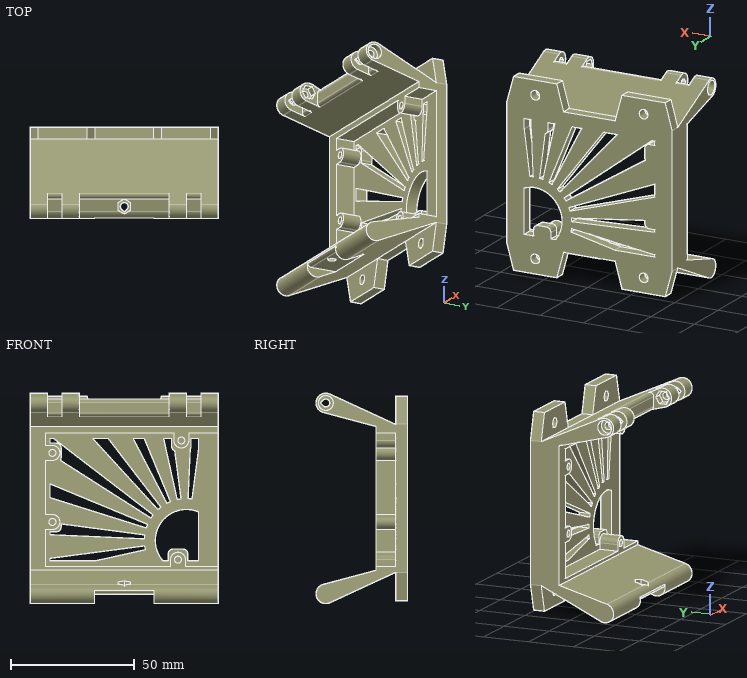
import cadquery as cq
import math


WIDTH = 76.0
HEIGHT = 85.0
DEPTH = 37.0
BODY_DEPTH = 12.8
PLATE_THICKNESS = 4.85
BODY_HALF_HEIGHT = 29.9
MOUTH_HALF_HEIGHT = 29.0
TIP_RADIUS = 4.0
TIP_DEPTH = DEPTH - TIP_RADIUS
TIP_HEIGHT = HEIGHT / 2 - TIP_RADIUS
CLEARANCE = 0.85

TAB_CENTER = 24.9
TAB_BASE_WIDTH = WIDTH - 2 * TAB_CENTER
TAB_TOP_WIDTH = 19.9
TAB_TOP = 41.3
TAB_HOLE_DIAMETER = 4.0
TAB_HOLE_HEIGHT = 34.8

EAR_WIDTH = 7.05
EAR_GAP = 5.8
INNER_EAR_START = WIDTH / 2 - 2 * EAR_WIDTH - EAR_GAP
GAP_WALL_DEPTH = TIP_DEPTH - TIP_RADIUS
EDGE_RADIUS = 1.5
SCREW_RADIUS = 1.5
SCREW_TIP_REACH = SCREW_RADIUS * math.sqrt(2)
SCREW_HEAD_DIAMETER = 6.0
NUT_DIAMETER = 6.0
HEXAGON_SIDES = 6
HINGE_RECESS_DEPTH = 3.6

LATCH_WIDTH = 23.9
LATCH_CEILING = -38.75
LATCH_SCREW_DEPTH = 32.0
LATCH_NUT_FLOOR = -35.8

POCKET_DEPTH = BODY_DEPTH - PLATE_THICKNESS
POCKET_LEFT = -31.9
POCKET_TOP = 26.4
POCKET_BOTTOM = -27.45
POST_RADIUS = 6.0 / 2
POST_WEB_LENGTH = 3.1
POST_HOLE_DIAMETER = 2.8
ISLAND_HALF_WIDTH = 4.0
ISLAND_CORNER_RADIUS = 2.0
ISLAND_WALL_LENGTH = 6.8
ISLAND_REACH_SIDE = 3.6
ISLAND_REACH_END = 4.3
SIDE_POSTS = [(-29.0, 18.35, -90), (-29.0, -9.5, -90)]
END_POSTS = [(23.0, 23.4, 0), (21.7, -24.7, 180)]

WINDOW_HALF_WIDTH = 29.9
WINDOW_TOP = 24.1
WINDOW_BOTTOM = -25.15
SUN_X = 25.1
SUN_Z = -17.0
SUN_RADIUS = 12.5
RAY_START_RADIUS = 17.0
RAY_END_RADIUS = 85.0
RAY_COUNT = 8
RAY_PITCH = 15.0
RAY_SPREAD = 5.0
FIRST_RAY_ANGLE = 85.0


def block(x_min, x_max, depth_min, depth_max, z_min, z_max):
    """Box between two x values, two depths and two heights."""
    size = (x_max - x_min, depth_max - depth_min, z_max - z_min)
    return cq.Workplane("XY").box(*size, centered=False).translate((x_min, -depth_max, z_min))


def front_sketch(depth):
    """Workplane at a depth, with x to the right and z up; positive extrusion goes to the front."""
    return cq.Workplane("XZ", origin=(0, -depth, 0))


def tangent_point(corner, center, radius, side):
    """Point where the line from a corner touches a circle, on its left (+1) or right (-1)."""
    dx = center[0] - corner[0]
    dz = center[1] - corner[1]
    distance = math.hypot(dx, dz)
    angle = math.atan2(dz, dx) + side * math.asin(radius / distance)
    length = math.sqrt(distance ** 2 - radius ** 2)
    return corner[0] + length * math.cos(angle), corner[1] + length * math.sin(angle)


def arm_profile():
    """Upper arm as a closed depth-height outline, drawn on YZ with y = -depth."""
    outer_corner = (-PLATE_THICKNESS, BODY_HALF_HEIGHT)
    inner_corner = (-BODY_DEPTH, MOUTH_HALF_HEIGHT)
    tip = (-TIP_DEPTH, TIP_HEIGHT)
    return (
        cq.Workplane("YZ", origin=(-WIDTH / 2, 0, 0))
        .moveTo(0, BODY_HALF_HEIGHT)
        .lineTo(*outer_corner)
        .lineTo(*tangent_point(outer_corner, tip, TIP_RADIUS, -1))
        .threePointArc((-DEPTH, TIP_HEIGHT), tangent_point(inner_corner, tip, TIP_RADIUS, 1))
        .lineTo(*inner_corner)
        .lineTo(0, MOUTH_HALF_HEIGHT)
        .close()
    )


def upper_arm():
    """Arm cut back to a rounded edge, except at four full-length hinge ears."""
    full_arm = arm_profile().extrude(WIDTH)
    arm = full_arm.cut(block(-WIDTH, WIDTH, GAP_WALL_DEPTH, DEPTH + CLEARANCE, 0, HEIGHT))
    arm = arm.faces("<Y").edges("|X").fillet(EDGE_RADIUS)
    for ear_start in (INNER_EAR_START, WIDTH / 2 - EAR_WIDTH):
        for x_min in (ear_start, -ear_start - EAR_WIDTH):
            ear_zone = block(x_min, x_min + EAR_WIDTH, 0, DEPTH + CLEARANCE, 0, HEIGHT)
            arm = arm.union(full_arm.intersect(ear_zone))
    return arm


def lower_arm():
    """Mirrored arm with a flat recess for the latch under the middle of its end."""
    round_start = LATCH_CEILING + EDGE_RADIUS
    lip_depth = TIP_DEPTH + math.sqrt(TIP_RADIUS ** 2 - (TIP_HEIGHT + round_start) ** 2)
    half = LATCH_WIDTH / 2
    lip = block(-half, half, 0, lip_depth, LATCH_CEILING, 0)
    lip = lip.faces("<Y").edges("<Z").fillet(EDGE_RADIUS)
    recess = block(-half, half, 0, DEPTH + CLEARANCE, -HEIGHT, round_start).cut(lip)
    return arm_profile().extrude(WIDTH).mirror("XY").cut(recess)


def teardrop(workplane, tip_direction, length):
    """Screw hole prism on a workplane, pointed along one of its axes."""
    dx, dy = tip_direction
    tip = (SCREW_TIP_REACH * dx, SCREW_TIP_REACH * dy)
    return (
        workplane.moveTo(*tip)
        .lineTo(*tangent_point(tip, (0, 0), SCREW_RADIUS, 1))
        .threePointArc(
            (-SCREW_RADIUS * dx, -SCREW_RADIUS * dy),
            tangent_point(tip, (0, 0), SCREW_RADIUS, -1),
        )
        .close()
        .extrude(length)
    )


def hinge_holes():
    """Teardrop bore along the hinge, head recesses outside and nut recesses inside."""
    axis = (-TIP_DEPTH, TIP_HEIGHT)
    bore = teardrop(cq.Workplane("YZ", origin=(-WIDTH / 2, *axis)), (-1, 0), WIDTH)
    head = (
        cq.Workplane("YZ", origin=(-WIDTH / 2, *axis))
        .circle(SCREW_HEAD_DIAMETER / 2)
        .extrude(HINGE_RECESS_DEPTH)
    )
    nut = (
        cq.Workplane("YZ", origin=(INNER_EAR_START, *axis))
        .polygon(HEXAGON_SIDES, NUT_DIAMETER)
        .extrude(HINGE_RECESS_DEPTH)
    )
    for recess in (head, nut):
        bore = bore.union(recess).union(recess.mirror("YZ"))
    return bore


def latch_screw_hole():
    """Vertical teardrop hole in the lower arm, with a nut recess open to the top."""
    nut_top = -MOUTH_HALF_HEIGHT
    hole_start = cq.Workplane("XY", origin=(0, -LATCH_SCREW_DEPTH, -HEIGHT / 2))
    hole = teardrop(hole_start, (0, -1), HEIGHT / 2 + nut_top)
    nut = (
        cq.Workplane("XY", origin=(0, -LATCH_SCREW_DEPTH, LATCH_NUT_FLOOR))
        .transformed(rotate=(0, 0, 90))
        .polygon(HEXAGON_SIDES, NUT_DIAMETER)
        .extrude(nut_top - LATCH_NUT_FLOOR)
    )
    return hole.union(nut)


def mounting_tabs():
    """Four tapered tabs, two above and two below the body, each with a hole."""
    left_tab = (
        front_sketch(0)
        .moveTo(-TAB_BASE_WIDTH / 2, BODY_HALF_HEIGHT)
        .lineTo(-TAB_TOP_WIDTH / 2, TAB_TOP)
        .lineTo(TAB_TOP_WIDTH / 2, TAB_TOP)
        .lineTo(TAB_BASE_WIDTH / 2, BODY_HALF_HEIGHT)
        .close()
        .moveTo(0, TAB_HOLE_HEIGHT)
        .circle(TAB_HOLE_DIAMETER / 2)
        .extrude(PLATE_THICKNESS)
        .translate((-TAB_CENTER, 0, 0))
    )
    upper = left_tab.union(left_tab.mirror("YZ"))
    return upper.union(upper.mirror("XY"))


def turn_and_place(lug, post):
    """Move a lug, modelled at the origin with its wall above it, to a post and its wall."""
    x, z, wall_angle = post
    return lug.rotate((0, 0, 0), (0, 1, 0), wall_angle).translate((x, 0, z))


def post_island(reach):
    """Plate area kept solid around a post, with rounded corners away from the wall."""
    island = block(
        -ISLAND_HALF_WIDTH, ISLAND_HALF_WIDTH, 0, PLATE_THICKNESS, -reach, ISLAND_WALL_LENGTH
    )
    return island.faces("<Z").edges("|Y").fillet(ISLAND_CORNER_RADIUS)


def screw_post():
    """Round-nosed post with a web to its wall and a blind hole down to the plate."""
    web = block(-POST_RADIUS, POST_RADIUS, PLATE_THICKNESS, BODY_DEPTH, 0, POST_WEB_LENGTH)
    base = front_sketch(PLATE_THICKNESS)
    nose = base.circle(POST_RADIUS).extrude(POCKET_DEPTH)
    hole = base.circle(POST_HOLE_DIAMETER / 2).extrude(POCKET_DEPTH)
    return web.union(nose).cut(hole)


def window_openings():
    """Sun disc and rays, kept inside a rectangle and clear of the post islands."""
    length = PLATE_THICKNESS
    openings = front_sketch(0).center(SUN_X, SUN_Z).circle(SUN_RADIUS).extrude(length)
    for index in range(RAY_COUNT):
        middle = FIRST_RAY_ANGLE + index * RAY_PITCH
        low = math.radians(middle - RAY_SPREAD / 2)
        high = math.radians(middle + RAY_SPREAD / 2)
        corners = [
            (SUN_X + radius * math.cos(angle), SUN_Z + radius * math.sin(angle))
            for radius, angle in (
                (RAY_START_RADIUS, low),
                (RAY_END_RADIUS, low),
                (RAY_END_RADIUS, high),
                (RAY_START_RADIUS, high),
            )
        ]
        openings = openings.union(front_sketch(0).polyline(corners).close().extrude(length))
    frame = block(-WINDOW_HALF_WIDTH, WINDOW_HALF_WIDTH, 0, length, WINDOW_BOTTOM, WINDOW_TOP)
    openings = openings.intersect(frame)
    for post in SIDE_POSTS:
        openings = openings.cut(turn_and_place(post_island(ISLAND_REACH_SIDE), post))
    for post in END_POSTS:
        openings = openings.cut(turn_and_place(post_island(ISLAND_REACH_END), post))
    return openings


def body():
    """Deep frame with a pocket that is open to the +X side and leaves a thin back plate."""
    frame = block(-WIDTH / 2, WIDTH / 2, 0, BODY_DEPTH, -MOUTH_HALF_HEIGHT, MOUTH_HALF_HEIGHT)
    pocket = block(
        POCKET_LEFT, WIDTH / 2 + CLEARANCE, PLATE_THICKNESS, BODY_DEPTH + CLEARANCE,
        POCKET_BOTTOM, POCKET_TOP,
    )
    return frame.cut(pocket)


result = body().union(upper_arm()).union(lower_arm()).union(mounting_tabs())
result = result.cut(window_openings())
for screw_place in SIDE_POSTS + END_POSTS:
    result = result.union(turn_and_place(screw_post(), screw_place))
result = result.cut(hinge_holes()).cut(latch_screw_hole())